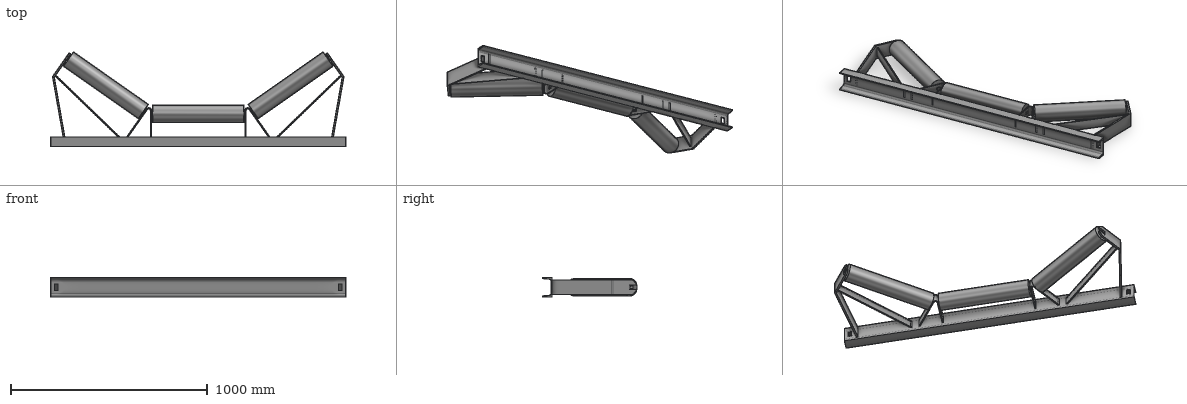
import cadquery as cq
import math

CHANNEL_LENGTH = 1500.0
CHANNEL_HEIGHT = 100.0
CHANNEL_DEPTH = 50.0
WEB_THICKNESS = 6.0
FLANGE_TIP_THICKNESS = 6.5
FLANGE_TAPER = 0.08
FLANGE_TIP_RADIUS = 5.0
FLANGE_ROOT_RADIUS = 9.0
MOUNT_HOLE_WIDTH = 18.0
MOUNT_HOLE_HEIGHT = 32.0
MOUNT_HOLE_X = 722.0

ROLLER_DIAMETER = 89.0
ROLLER_LENGTH = 465.0
TROUGH_ANGLE = 35.0
MIDDLE_ROLLER_Y = 166.0
SIDE_ROLLER_X = 470.0
OVERALL_DEPTH = 482.0
SHAFT_DIAMETER = 20.0
SHAFT_FLAT_WIDTH = 14.0

OUTER_WIDTH = 75.0
OUTER_THICKNESS = 9.0
OUTER_GAP = 6.0
OUTER_LEAN = 10.0
OUTER_FOOT_X = 682.0
OUTER_BEND_RADIUS = 12.0
OUTER_TIP_RISE = 28.0
OUTER_TIP_CHAMFER_LENGTH = 20.0
OUTER_TIP_CHAMFER_WIDTH = 15.0
SLOT_WIDTH = 21.0
INNER_THICKNESS = 6.0
INNER_GAP = 5.0
INNER_BEND_RADIUS = 15.0
INNER_WIDTH = 50.0
STRUT_THICKNESS = 6.0
STRUT_WIDTH = 50.0
STRUT_FOOT_X = 404.0
STRUT_ANGLE = 44.0

OUTER_REACH = OUTER_GAP + OUTER_THICKNESS
INNER_REACH = INNER_GAP + INNER_THICKNESS

tilt = math.radians(TROUGH_ANGLE)
AXIS = cq.Vector(-math.cos(tilt), math.sin(tilt))
RISE = cq.Vector(math.sin(tilt), math.cos(tilt))
UP = cq.Vector(0, 1)

rim_height = ROLLER_LENGTH / 2 * math.sin(tilt) + ROLLER_DIAMETER / 2 * math.cos(tilt)
SIDE_CENTER = cq.Vector(-SIDE_ROLLER_X, OVERALL_DEPTH - rim_height)


def crossing(point_a, direction_a, point_b, direction_b):
    """Point where two lines in the XY plane meet."""
    gap = point_b - point_a
    travel = gap.cross(direction_b).z / direction_a.cross(direction_b).z
    return point_a + direction_a * travel


def bent_strip(start, bend, end, thickness, bend_radius, width):
    """Strip of flat bar around the centre line start-bend-end, rounded at its bend."""
    first = (bend - start).normalized()
    second = (end - bend).normalized()
    first_side = cq.Vector(-first.y, first.x) * (thickness / 2)
    second_side = cq.Vector(-second.y, second.x) * (thickness / 2)
    left_corner = crossing(start + first_side, first, end + second_side, second)
    right_corner = crossing(start - first_side, first, end - second_side, second)
    outline = [
        start + first_side,
        left_corner,
        end + second_side,
        end - second_side,
        right_corner,
        start - first_side,
    ]
    underside = cq.Workplane("XY", origin=(0, 0, -width / 2))
    strip = underside.polyline([p.toTuple()[:2] for p in outline]).close().extrude(width)
    turns_left = first.cross(second).z > 0
    inside, outside = (left_corner, right_corner) if turns_left else (right_corner, left_corner)
    for corner, radius in ((inside, bend_radius - thickness), (outside, bend_radius)):
        strip = strip.edges(cq.NearestToPointSelector(corner.toTuple())).fillet(radius)
    return strip


def trim_at_web(strip):
    """Cut a strip off flush with the back of the channel web."""
    below = cq.Workplane("XY").box(CHANNEL_LENGTH, CHANNEL_DEPTH, CHANNEL_HEIGHT)
    return strip.cut(below.translate((0, CHANNEL_DEPTH / 2, 0)))


def axis_plane(origin):
    """Plane square to the left roller axis, with its x direction up along RISE."""
    return cq.Plane(origin=origin, xDir=RISE, normal=AXIS)


def make_channel():
    """Channel with tapered flanges and a rectangular mounting hole near each end of its web."""
    half = CHANNEL_HEIGHT / 2
    tip = half - FLANGE_TIP_THICKNESS
    web_front = CHANNEL_DEPTH - WEB_THICKNESS
    root = tip - FLANGE_TAPER * web_front
    outline = [
        (CHANNEL_DEPTH, half),
        (0, half),
        (0, tip),
        (web_front, root),
        (web_front, -root),
        (0, -tip),
        (0, -half),
        (CHANNEL_DEPTH, -half),
    ]
    left_end = cq.Workplane("YZ", origin=(-CHANNEL_LENGTH / 2, 0, 0))
    channel = left_end.polyline(outline).close().extrude(CHANNEL_LENGTH)
    for side in (-1, 1):
        root_edge = cq.NearestToPointSelector((0, web_front, side * root))
        channel = channel.edges(root_edge).fillet(FLANGE_ROOT_RADIUS)
        tip_edge = cq.NearestToPointSelector((0, 0, side * tip))
        channel = channel.edges(tip_edge).fillet(FLANGE_TIP_RADIUS)
    holes = (
        cq.Workplane("XZ")
        .pushPoints([(-MOUNT_HOLE_X, 0), (MOUNT_HOLE_X, 0)])
        .rect(MOUNT_HOLE_WIDTH, MOUNT_HOLE_HEIGHT)
        .extrude(-CHANNEL_DEPTH)
    )
    return channel.cut(holes)


def cylinder_along_x(diameter, start, end):
    return cq.Workplane("YZ", origin=(start, 0, 0)).circle(diameter / 2).extrude(end - start)


def make_roller(left_reach, right_reach):
    """Roller along X, centred on the origin, in one piece with its flattened shaft ends."""
    half = ROLLER_LENGTH / 2
    shaft_start = -half - left_reach
    shaft_end = half + right_reach
    shaft = cylinder_along_x(SHAFT_DIAMETER, shaft_start, shaft_end)
    flats = cq.Workplane("XY").box(2 * ROLLER_LENGTH, SHAFT_DIAMETER, SHAFT_FLAT_WIDTH)
    return cylinder_along_x(ROLLER_DIAMETER, -half, half).union(shaft.intersect(flats))


def make_middle_roller():
    return make_roller(INNER_REACH, INNER_REACH).translate((0, MIDDLE_ROLLER_Y, 0))


def make_left_roller():
    roller = make_roller(OUTER_REACH, INNER_REACH)
    return roller.rotate((0, 0, 0), (0, 0, 1), -TROUGH_ANGLE).translate(SIDE_CENTER)


def point_on_upper_arm():
    """Point of the left outer bracket's centre line that lies on the roller axis."""
    return SIDE_CENTER + AXIS * (ROLLER_LENGTH / 2 + OUTER_GAP + OUTER_THICKNESS / 2)


def make_outer_bracket():
    """Bent bracket with a chamfered tip and an open slot in which the shaft end rests."""
    lean = math.radians(OUTER_LEAN)
    foot = cq.Vector(-OUTER_FOOT_X, CHANNEL_DEPTH)
    lower_arm = cq.Vector(-math.sin(lean), math.cos(lean))
    bend = crossing(point_on_upper_arm(), RISE, foot, lower_arm)
    below_foot = foot - lower_arm * OUTER_THICKNESS
    seat = SIDE_CENTER + AXIS * (ROLLER_LENGTH / 2 + OUTER_GAP)
    tip = point_on_upper_arm() + RISE * OUTER_TIP_RISE
    bracket = bent_strip(below_foot, bend, tip, OUTER_THICKNESS, OUTER_BEND_RADIUS, OUTER_WIDTH)
    for side in (-1, 1):
        corner = [
            (OUTER_TIP_RISE, side * OUTER_WIDTH / 2),
            (OUTER_TIP_RISE - OUTER_TIP_CHAMFER_LENGTH, side * OUTER_WIDTH / 2),
            (OUTER_TIP_RISE, side * (OUTER_WIDTH / 2 - OUTER_TIP_CHAMFER_WIDTH)),
        ]
        bracket = bracket.cut(
            cq.Workplane(axis_plane(seat)).polyline(corner).close().extrude(OUTER_THICKNESS)
        )
    slot_length = OUTER_TIP_RISE + SHAFT_DIAMETER / 2
    slot = (
        cq.Workplane(axis_plane(seat))
        .center(OUTER_TIP_RISE - slot_length / 2, 0)
        .rect(slot_length, SLOT_WIDTH)
        .extrude(OUTER_THICKNESS)
    )
    return trim_at_web(bracket.cut(slot))


def make_inner_bracket(left_roller, middle_roller):
    """Inverted V whose legs are square to the shafts of the two rollers it carries."""
    reach = ROLLER_LENGTH / 2 + INNER_GAP + INNER_THICKNESS / 2
    on_sloped_leg = SIDE_CENTER - AXIS * reach
    on_upright_leg = cq.Vector(-reach, MIDDLE_ROLLER_Y)
    bend = crossing(on_sloped_leg, RISE, on_upright_leg, UP)
    web_back = cq.Vector(0, CHANNEL_DEPTH - INNER_THICKNESS)
    across = cq.Vector(1, 0)
    sloped_foot = crossing(on_sloped_leg, RISE, web_back, across)
    upright_foot = crossing(on_upright_leg, UP, web_back, across)
    bracket = bent_strip(
        sloped_foot, bend, upright_foot, INNER_THICKNESS, INNER_BEND_RADIUS, INNER_WIDTH
    )
    return trim_at_web(bracket).cut(left_roller).cut(middle_roller)


def make_strut(outer_bracket):
    """Flat stay from the web up into the inside corner of the outer bracket."""
    slope_angle = math.radians(STRUT_ANGLE)
    slope = cq.Vector(-math.cos(slope_angle), math.sin(slope_angle))
    foot = cq.Vector(-STRUT_FOOT_X, CHANNEL_DEPTH)
    start = foot - slope * STRUT_THICKNESS
    length = (crossing(point_on_upper_arm(), RISE, foot, slope) - start).Length
    strut = (
        cq.Workplane(cq.Plane(origin=start, xDir=slope, normal=(0, 0, 1)))
        .center(length / 2, 0)
        .rect(length, STRUT_THICKNESS)
        .extrude(STRUT_WIDTH / 2, both=True)
    )
    return trim_at_web(strut).cut(outer_bracket)


channel = make_channel()
middle_roller = make_middle_roller()
left_roller = make_left_roller()
outer_bracket = make_outer_bracket()
left_bodies = [
    left_roller,
    outer_bracket,
    make_inner_bracket(left_roller, middle_roller),
    make_strut(outer_bracket),
]

bodies = [channel.solids().val(), middle_roller.solids().val()]
for body in left_bodies:
    bodies.append(body.solids().val())
    bodies.append(body.mirror("YZ").solids().val())

result = cq.Compound.makeCompound(bodies)